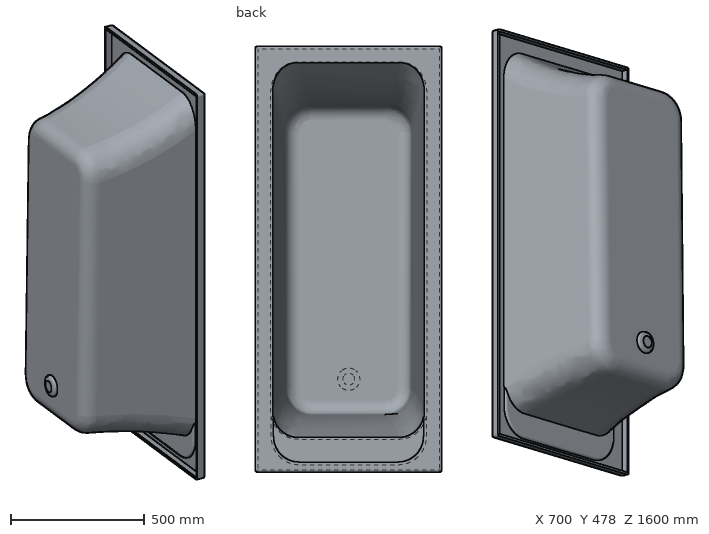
import cadquery as cq

LENGTH = 1600.0
WIDTH = 700.0
DEPTH = 478.0
WALL = 10.0

RIM_DEPTH = 35.0
RIM_CORNER_RADIUS = 10.0
RIM_EDGE_ROUND = 9.5

TOP_HALF_WIDTH = 295.0
FLOOR_HALF_WIDTH = 237.0
HEAD_TOP = (0, 1547.0)
HEAD_MIDDLE = (-208.0, 1437.0)
HEAD_FLOOR = (-448.0, 1375.0)
FOOT_TOP = (0, 118.0)
FOOT_MIDDLE = (-208.0, 176.0)
FOOT_FLOOR = (-465.0, 211.0)
FLOOR_DEPTH = -FOOT_FLOOR[0]
CORNER_RADIUS = 105.0
FLOOR_RADIUS = 60.0

SHELF_DROP = 10.0
SHELF_HALF_WIDTH = 291.0
SHELF_START = 29.0
SHELF_END = 400.0
SHELF_ROUND = 9.5

OUTLET_Z = 350.0
OUTLET_RADIUS = 42.0
OUTLET_ROUND = 10.0
OUTLET_BEVEL_WIDTH = 10.0
OUTLET_BEVEL_HEIGHT = 3.0


def block(half_width, start, end, depth):
    """Box hanging from the rim top, centred across X, between two places along Z."""
    box = cq.Workplane("XY").box(2 * half_width, depth, end - start, centered=(True, False, False))
    return box.translate((0, -depth, start))


def basin(inset):
    """Solid tub below the rim top, with its walls and floor moved inwards by the inset."""

    def foot_point(point, rise=0):
        y, z = point
        return (y + rise, z + inset)

    def head_point(point, rise=0):
        y, z = point
        return (y + rise, z - inset)

    lengthwise = (
        cq.Workplane("YZ")
        .moveTo(*foot_point(FOOT_TOP))
        .threePointArc(foot_point(FOOT_MIDDLE), foot_point(FOOT_FLOOR, inset))
        .lineTo(*head_point(HEAD_FLOOR, inset))
        .threePointArc(head_point(HEAD_MIDDLE), head_point(HEAD_TOP))
        .close()
        .extrude(WIDTH / 2, both=True)
    )
    top = TOP_HALF_WIDTH - inset
    bottom = FLOOR_HALF_WIDTH - inset
    across = (
        cq.Workplane("XY")
        .polyline([(-top, 0), (top, 0), (bottom, -FLOOR_DEPTH), (-bottom, -FLOOR_DEPTH)])
        .close()
        .extrude(LENGTH)
    )
    tub = lengthwise.intersect(across)

    mid_depth = cq.selectors.BoxSelector(
        (-WIDTH, CORNER_RADIUS - FLOOR_DEPTH, 0),
        (WIDTH, -CORNER_RADIUS, LENGTH),
    )
    wall_corners = tub.edges(mid_depth)
    tub = wall_corners.fillet(CORNER_RADIUS - inset)
    return tub.faces("<Y").edges().fillet(FLOOR_RADIUS - inset)


def rim():
    """Flat plate with a turned-down skirt and rounded outer edges."""
    outside = block(WIDTH / 2, 0, LENGTH, RIM_DEPTH)
    outside = outside.edges("|Y").fillet(RIM_CORNER_RADIUS)
    outside = outside.faces(">Y").edges().fillet(RIM_EDGE_ROUND)
    underside = block(WIDTH / 2 - WALL, WALL, LENGTH - WALL, RIM_DEPTH - WALL)
    return outside.cut(underside.translate((0, -WALL, 0)))


def shelf(inset, depth):
    """Slab below the rim top with rounded corners at the foot end."""
    slab = block(SHELF_HALF_WIDTH - inset, SHELF_START + inset, SHELF_END, depth)
    return slab.edges("|Y and <Z").fillet(CORNER_RADIUS - inset)


def outlet():
    """Boss turned about a line parallel to Y, rooted in the thickness of the floor."""
    root = WALL / 2 - FLOOR_DEPTH
    bevel_start = OUTLET_BEVEL_HEIGHT - DEPTH
    bevel_radius = OUTLET_RADIUS - OUTLET_ROUND
    face_radius = bevel_radius - OUTLET_BEVEL_WIDTH
    profile = (
        cq.Workplane("XY")
        .moveTo(0, root)
        .lineTo(OUTLET_RADIUS, root)
        .lineTo(OUTLET_RADIUS, bevel_start + OUTLET_ROUND)
        .radiusArc((bevel_radius, bevel_start), OUTLET_ROUND)
        .lineTo(face_radius, -DEPTH)
        .lineTo(0, -DEPTH)
        .close()
    )
    return profile.revolve(360, (0, 0, 0), (0, 1, 0)).translate((0, 0, OUTLET_Z))


shelf_outside = shelf(0, WALL + SHELF_DROP).faces("<Y").edges("not >Z").fillet(SHELF_ROUND)
outside = rim().union(basin(0)).union(shelf_outside).union(outlet())
result = outside.cut(basin(WALL)).cut(shelf(WALL, SHELF_DROP))